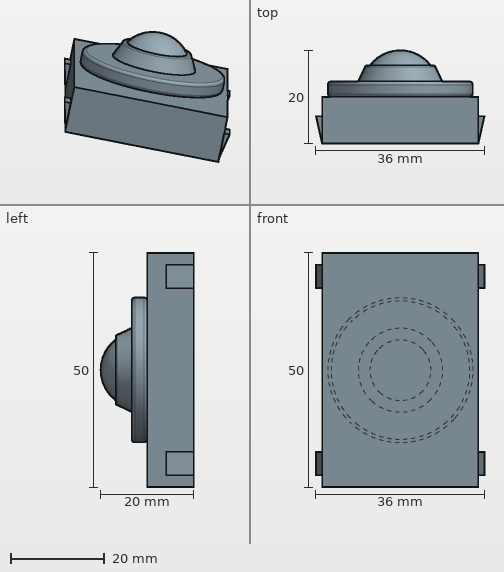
import cadquery as cq
import math

housing_width = 33.4
housing_depth = 10.0
housing_height = 50.0

overall_width = 36.0
clip_depth = 5.9
clip_height = 5.0
clip_end_gap = 2.5

flange_radius = 15.5
flange_thickness = 3.3
flange_rounding = 0.7

collar_base_radius = 9.0
collar_top_radius = 7.4
collar_height = 3.4
collar_rounding = 0.4

overall_depth = 19.96
dome_base_radius = 6.5

flange_top = housing_depth + flange_thickness
collar_top = flange_top + collar_height
dome_height = overall_depth - collar_top
dome_radius = (dome_base_radius**2 + dome_height**2) / (2 * dome_height)


def make_housing():
    return cq.Workplane("XY").box(
        housing_width, housing_depth, housing_height, centered=(True, False, True)
    )


def make_clip(side, bottom):
    """Wedge on one X side (side = -1 or +1), flush at Y = 0 and widest at its +Y end."""
    wall = side * housing_width / 2
    tip = side * overall_width / 2
    return (
        cq.Workplane("XY", origin=(0, 0, bottom))
        .moveTo(wall, 0)
        .lineTo(tip, clip_depth)
        .lineTo(wall, clip_depth)
        .close()
        .extrude(clip_height)
    )


def make_flange():
    return (
        cq.Workplane("XZ", origin=(0, housing_depth, 0))
        .circle(flange_radius)
        .extrude(-flange_thickness)
        .edges()
        .fillet(flange_rounding)
    )


def make_collar():
    collar = (
        cq.Workplane("XY")
        .moveTo(0, flange_top)
        .lineTo(collar_base_radius, flange_top)
        .lineTo(collar_top_radius, collar_top)
        .lineTo(0, collar_top)
        .close()
        .revolve(axisStart=(0, 0, 0), axisEnd=(0, 1, 0))
    )
    return collar.faces(">Y").edges().fillet(collar_rounding)


def make_dome():
    """Spherical cap, revolved about the Y axis from half of its profile."""
    centre = overall_depth - dome_radius
    half_angle = math.asin(dome_base_radius / dome_radius) / 2
    arc_middle = (dome_radius * math.sin(half_angle), centre + dome_radius * math.cos(half_angle))
    return (
        cq.Workplane("XY")
        .moveTo(0, collar_top)
        .lineTo(dome_base_radius, collar_top)
        .threePointArc(arc_middle, (0, overall_depth))
        .close()
        .revolve(axisStart=(0, 0, 0), axisEnd=(0, 1, 0))
    )


result = make_housing()
lower_clip_bottom = -housing_height / 2 + clip_end_gap
upper_clip_bottom = housing_height / 2 - clip_end_gap - clip_height
for clip_side in (-1, 1):
    for clip_bottom in (lower_clip_bottom, upper_clip_bottom):
        result = result.union(make_clip(clip_side, clip_bottom))
result = result.union(make_flange()).union(make_collar()).union(make_dome())